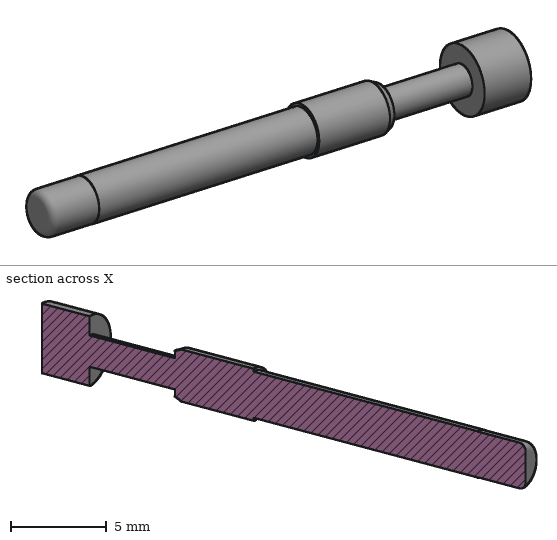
import cadquery as cq

total_length = 30.3

head_diameter = 4.0
stem_diameter = 1.82
collar_diameter = 3.0
collar_nose_diameter = 2.6
barrel_diameter = 2.67
tip_diameter = 2.65

head_length = 3.0
stem_length = 5.3
collar_length = 4.97
collar_taper_length = 0.42
tip_length = 3.0
tip_fillet = 0.42

tip_end = -total_length / 2
head_end = total_length / 2
tip_joint = tip_end + tip_length
head_shoulder = head_end - head_length
collar_front = head_shoulder - stem_length
collar_back = collar_front - collar_length
taper_start = collar_front - collar_taper_length


def cylinder(diameter, start, end):
    """Solid cylinder on the Y axis between two Y positions."""
    profile = cq.Workplane("XZ", origin=(0, start, 0)).circle(diameter / 2)
    return profile.extrude(start - end)


def make_tip():
    """Slightly narrower end plug with a rounded rim."""
    return cylinder(tip_diameter, tip_end, tip_joint).faces("<Y").edges().fillet(tip_fillet)


def make_collar():
    """Collar that tapers to a narrower nose towards the stem."""
    outline = [
        (0, collar_back),
        (collar_diameter / 2, collar_back),
        (collar_diameter / 2, taper_start),
        (collar_nose_diameter / 2, collar_front),
        (0, collar_front),
    ]
    return cq.Workplane("XY").polyline(outline).close().revolve(360, (0, 0), (0, 1))


barrel = cylinder(barrel_diameter, tip_joint, collar_back)
stem = cylinder(stem_diameter, collar_front, head_shoulder)
head = cylinder(head_diameter, head_shoulder, head_end)

result = make_tip().union(barrel).union(make_collar()).union(stem).union(head)